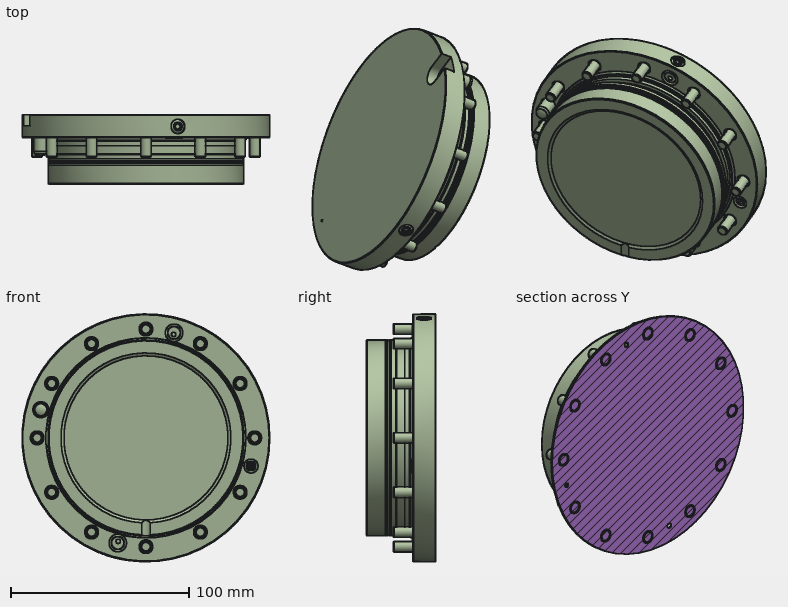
import cadquery as cq
import math


flange_radius = 69.5
flange_thickness = 12.9
flange_edge = 0.4

seal_thickness = 1.5
seal_press = 0.1
seal_rise = 0.4

seal_land_radius = 54.8
seal_land_end = 15.0
shoulder_radius = 53.7
shoulder_seal_radius = 56.2
shoulder_end = 17.5
neck_radius = 51.4
neck_end = 22.0
plug_radius = 110.0 / 2
plug_end = 39.0
plug_edge = 0.5

ring_groove_radius = 109.5 / 2
ring_groove_count = 3
ring_groove_start = 24.9
ring_groove_width = 1.0
ring_groove_pitch = 1.3

recess_radius = 46.0
recess_mouth_radius = 47.7
recess_depth = 1.0
drain_radius = 7.0 / 2
drain_width = 4.6
drain_overrun = 1.4

circle_radius = 61.0
screw_count = 12
screw_radius = 6.0 / 2
screw_tip_radius = 4.9 / 2
screw_end = 23.9
screw_hole_radius = 7.0 / 2
screw_hole_mouth_radius = 7.6 / 2
screw_hole_depth = 1.4
dowel_angle = 165
dowel_radius = 8.0 / 2
dowel_tip_radius = 6.8 / 2
dowel_straight_end = 20.6
dowel_cone_end = 22.1
dowel_end = 23.1
dowel_hole_radius = 4.5
dowel_hole_depth = 0.7

port_angles = (75, 255)
port_radius = 10.0 / 2
port_bore_radius = 2.5 / 2
port_bore_depth = 5.5
port_bore_offset = 1.0

inlet_angle = -15
inlet_radius = 8.0 / 2
inlet_funnel_radius = 3.0 / 2
inlet_funnel_depth = 0.7
inlet_hole_radius = 1.0 / 2

plug_screw_angles = (75, 255)
plug_screw_depth = 6.7
plug_screw_radius = 8.0 / 2
plug_screw_crown_radius = 4.9 / 2
plug_screw_crown_sink = 0.3
plug_screw_socket_radius = 3.0 / 2
plug_screw_socket_depth = 1.1

notch_angle = 165
notch_width = 12.5
notch_depth = 6.3
notch_round_centre = 58.5
notch_overrun = 1.4


def turned(points):
    """Solid turned about Y from (radius, depth) points."""
    outline = [(radius, -depth) for radius, depth in points]
    return cq.Workplane("XY").polyline(outline).close().revolve(360, (0, 0), (0, 1))


def bore(radius, start, end):
    return turned([(0, start), (radius, start), (radius, end), (0, end)])


def on_circle(shape, angle, radius=circle_radius):
    """Move a shape from the Y axis to a place on a circle, turned by the angle from +X toward +Z."""
    return shape.translate((radius, 0, 0)).rotate((0, 0, 0), (0, 1, 0), -angle)


def disc_body():
    outline = (
        cq.Workplane("XY")
        .moveTo(0, 0)
        .lineTo(flange_radius - flange_edge, 0)
        .lineTo(flange_radius, -flange_edge)
        .lineTo(flange_radius, flange_edge - flange_thickness)
        .lineTo(flange_radius - flange_edge, -flange_thickness)
        .lineTo(seal_land_radius, -flange_thickness)
        .lineTo(seal_land_radius, -seal_land_end)
        .lineTo(shoulder_radius, -seal_land_end)
        .lineTo(shoulder_radius, -shoulder_end)
        .lineTo(neck_radius, -shoulder_end)
        .lineTo(neck_radius, -neck_end)
        .lineTo(plug_radius - plug_edge, -neck_end)
        .lineTo(plug_radius, -neck_end - plug_edge)
    )
    for index in range(ring_groove_count):
        start = ring_groove_start + index * ring_groove_pitch
        end = start + ring_groove_width
        outline = (
            outline.lineTo(plug_radius, -start)
            .lineTo(ring_groove_radius, -start)
            .lineTo(ring_groove_radius, -end)
            .lineTo(plug_radius, -end)
        )
    outline = (
        outline.lineTo(plug_radius, plug_edge - plug_end)
        .lineTo(plug_radius - plug_edge, -plug_end)
        .lineTo(recess_mouth_radius, -plug_end)
        .lineTo(recess_radius, recess_depth - plug_end)
        .lineTo(0, recess_depth - plug_end)
    )
    return outline.close().revolve(360, (0, 0), (0, 1))


def drain_groove():
    """Shallow round-bottomed channel from the recess out through the lower wall of the plug."""
    axis_lift = math.sqrt(drain_radius**2 - (drain_width / 2) ** 2)
    return (
        cq.Workplane("XY", origin=(0, -plug_end - axis_lift, -recess_radius))
        .circle(drain_radius)
        .extrude(-(plug_radius - recess_radius) - drain_overrun)
    )


def screw_hole():
    mouth = screw_hole_mouth_radius - screw_hole_radius
    bottom = flange_thickness - screw_hole_depth
    return turned([
        (0, bottom),
        (screw_hole_radius, bottom),
        (screw_hole_radius, flange_thickness - mouth),
        (screw_hole_mouth_radius, flange_thickness),
        (0, flange_thickness),
    ])


def screw():
    tip = screw_radius - screw_tip_radius
    start = flange_thickness - 2 * screw_hole_depth
    return turned([
        (0, start),
        (screw_radius, start),
        (screw_radius, screw_end - tip),
        (screw_tip_radius, screw_end),
        (0, screw_end),
    ])


def dowel_hole():
    return turned([
        (0, flange_thickness - dowel_hole_depth),
        (dowel_radius, flange_thickness - dowel_hole_depth),
        (dowel_hole_radius, flange_thickness),
        (0, flange_thickness),
    ])


def dowel():
    start = flange_thickness - 2 * dowel_hole_depth
    dome_height = dowel_end - dowel_cone_end
    dome_radius = (dowel_tip_radius**2 + dome_height**2) / (2 * dome_height)
    return (
        cq.Workplane("XY")
        .moveTo(0, -start)
        .lineTo(dowel_radius, -start)
        .lineTo(dowel_radius, -dowel_straight_end)
        .lineTo(dowel_tip_radius, -dowel_cone_end)
        .radiusArc((0, -dowel_end), dome_radius)
        .close()
        .revolve(360, (0, 0), (0, 1))
    )


def seal(outer_radius, end):
    """Round seal about Y whose front reaches the given depth."""
    tube_radius = seal_thickness / 2
    tube = cq.Workplane("XY").center(outer_radius - tube_radius, tube_radius - end).circle(tube_radius)
    return tube.revolve(360, (tube_radius - outer_radius, 0), (tube_radius - outer_radius, 1))


def seal_seat(outer_radius, seal_end, face):
    """Round pocket, open at the face, that grips a seal by its outer side and its bottom."""
    floor = seal_end - seal_thickness + seal_press
    return bore(outer_radius - seal_press, floor, face)


def inlet_cut():
    """Seat for the inlet seal, the funnel in its floor and the hole through the flange."""
    seal_end = flange_thickness + seal_rise
    floor = seal_end - seal_thickness + seal_press
    funnel = turned([
        (0, 0),
        (inlet_hole_radius, 0),
        (inlet_hole_radius, floor - inlet_funnel_depth),
        (inlet_funnel_radius, floor),
        (0, floor),
    ])
    return seal_seat(inlet_radius, seal_end, flange_thickness).union(funnel)


def plug_screw_cut():
    """Space left around the rounded crown of a plug whose mouth is at the rim."""
    crown_round = plug_screw_radius - plug_screw_crown_radius
    shoulder = flange_radius - crown_round
    corner = crown_round * math.sqrt(0.5)
    around = (
        cq.Workplane("XY")
        .moveTo(plug_screw_crown_radius, -flange_radius)
        .threePointArc(
            (plug_screw_crown_radius + corner, -shoulder - corner),
            (plug_screw_radius, -shoulder),
        )
        .lineTo(plug_screw_radius, -flange_radius)
        .close()
        .revolve(360, (0, 0), (0, 1))
    )
    crown = bore(plug_screw_crown_radius, flange_radius - plug_screw_crown_sink, flange_radius)
    socket = bore(plug_screw_socket_radius, flange_radius - plug_screw_socket_depth, flange_radius)
    return around.union(crown).union(socket)


def notch():
    """Slot in the rim with parallel sides and a full round end."""
    half = notch_width / 2
    outer = flange_radius + notch_overrun
    return (
        cq.Workplane("XZ")
        .moveTo(outer, -half)
        .lineTo(notch_round_centre, -half)
        .threePointArc((notch_round_centre - half, 0), (notch_round_centre, half))
        .lineTo(outer, half)
        .close()
        .extrude(notch_depth)
    )


result = disc_body().cut(drain_groove())

shoulder_seal_end = flange_thickness + seal_thickness - seal_press
result = result.union(seal(shoulder_seal_radius, shoulder_seal_end))

for index in range(screw_count):
    angle = index * 360 / screw_count
    result = result.cut(on_circle(screw_hole(), angle)).union(on_circle(screw(), angle))

result = result.cut(on_circle(dowel_hole(), dowel_angle)).union(on_circle(dowel(), dowel_angle))

raised_seal_end = flange_thickness + seal_rise
port_bore_start = flange_thickness - port_bore_depth
port_bore = bore(port_bore_radius, port_bore_start, flange_thickness).translate((-port_bore_offset, 0, 0))
port_seat = seal_seat(port_radius, raised_seal_end, flange_thickness)
for angle in port_angles:
    result = result.cut(on_circle(port_seat, angle)).cut(on_circle(port_bore, angle))
    result = result.union(on_circle(seal(port_radius, raised_seal_end), angle))

result = result.cut(on_circle(inlet_cut(), inlet_angle))
result = result.union(on_circle(seal(inlet_radius, raised_seal_end), inlet_angle))

rim_cut = plug_screw_cut().rotate((0, 0, 0), (0, 0, 1), 90).translate((0, -plug_screw_depth, 0))
for angle in plug_screw_angles:
    result = result.cut(on_circle(rim_cut, angle, 0))

result = result.cut(on_circle(notch(), notch_angle, 0))